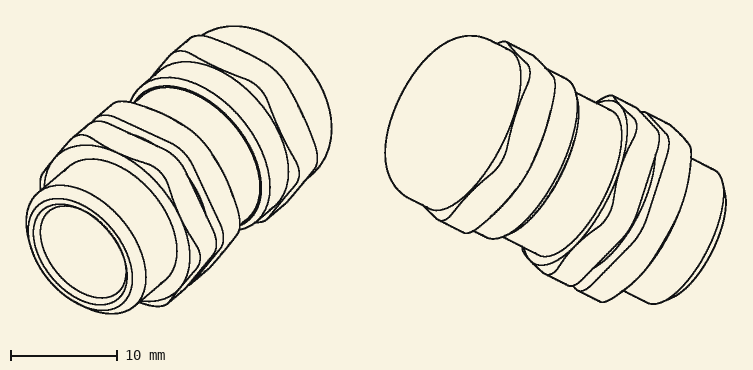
import cadquery as cq
import math


length = 30.4
locknut_start = 5.8
locknut_end = 8.85
body_hex_start = 9.97
body_hex_end = 13.05
cap_start = 18.1
cap_hex_start = 21.6
cap_hex_end = 25.15

thread_diameter = 14.0
thread_chamfer = 0.9
body_diameter = 15.2
cap_diameter = 16.7
cap_chamfer = 0.58
dome_radius = 2.95

ring_section_radius = 0.75
ring_center = 9.6

recess_mouth_diameter = 10.95
recess_floor_diameter = 10.0
recess_depth = (recess_mouth_diameter - recess_floor_diameter) / 2

across_flats = 17.0
hex_corner_radius = 3.05
nut_bevel_angle = 30.0
cap_bevel_angle = 19.0


def cylinder(diameter, start, end):
    """Cylinder on the Y axis between two axial positions."""
    return cq.Workplane("XZ", origin=(0, start, 0)).circle(diameter / 2).extrude(start - end)


def bevel_envelope(start, end, face_diameter, angle, bevel_start, bevel_end):
    """Turned blank whose conical ends trim the corners of a hexagon."""
    face_radius = face_diameter / 2
    outer_radius = across_flats / math.sqrt(3)
    drop = (outer_radius - face_radius) * math.tan(math.radians(angle))
    outline = cq.Workplane("XY").moveTo(0, start)
    if bevel_start:
        outline = outline.lineTo(face_radius, start).lineTo(outer_radius, start + drop)
    else:
        outline = outline.lineTo(outer_radius, start)
    if bevel_end:
        outline = outline.lineTo(outer_radius, end - drop).lineTo(face_radius, end)
    else:
        outline = outline.lineTo(outer_radius, end)
    return outline.lineTo(0, end).close().revolve(360, (0, 0, 0), (0, 1, 0))


def hexagon(start, end, face_diameter, angle, bevel_start=False, bevel_end=False):
    """Hexagonal prism with rounded corners and bevelled end faces."""
    corner_diameter = 2 * across_flats / math.sqrt(3)
    prism = (
        cq.Workplane("XZ", origin=(0, start, 0))
        .polygon(6, corner_diameter)
        .extrude(start - end)
        .edges("|Y")
        .fillet(hex_corner_radius)
    )
    return prism.intersect(bevel_envelope(start, end, face_diameter, angle, bevel_start, bevel_end))


def sealing_ring():
    """Ring with a rounded rim, filling the gap between the two nuts."""
    section_center = body_diameter / 2 - ring_section_radius

    def rim_radius(y):
        return section_center + math.sqrt(ring_section_radius**2 - (y - ring_center) ** 2)

    return (
        cq.Workplane("XY")
        .moveTo(0, locknut_end)
        .lineTo(rim_radius(locknut_end), locknut_end)
        .threePointArc((body_diameter / 2, ring_center), (rim_radius(body_hex_start), body_hex_start))
        .lineTo(0, body_hex_start)
        .close()
        .revolve(360, (0, 0, 0), (0, 1, 0))
    )


def recess():
    """Shallow conical recess in the threaded end."""
    return (
        cq.Workplane("XY")
        .lineTo(recess_mouth_diameter / 2, 0)
        .lineTo(recess_floor_diameter / 2, recess_depth)
        .lineTo(0, recess_depth)
        .close()
        .revolve(360, (0, 0, 0), (0, 1, 0))
    )


thread = cylinder(thread_diameter, 0, locknut_end).faces("<Y").chamfer(thread_chamfer)
locknut = hexagon(locknut_start, locknut_end, across_flats, nut_bevel_angle, bevel_start=True)
body_hex = hexagon(body_hex_start, body_hex_end, across_flats, nut_bevel_angle, bevel_end=True)
body = cylinder(body_diameter, body_hex_start, cap_start)
cap = cylinder(cap_diameter, cap_start, length)
cap = cap.faces("<Y").chamfer(cap_chamfer).faces(">Y").edges().fillet(dome_radius)
cap_hex = hexagon(
    cap_hex_start, cap_hex_end, cap_diameter, cap_bevel_angle, bevel_start=True, bevel_end=True
)

result = thread.union(locknut).union(sealing_ring()).union(body_hex).union(body)
result = result.union(cap).union(cap_hex).cut(recess())